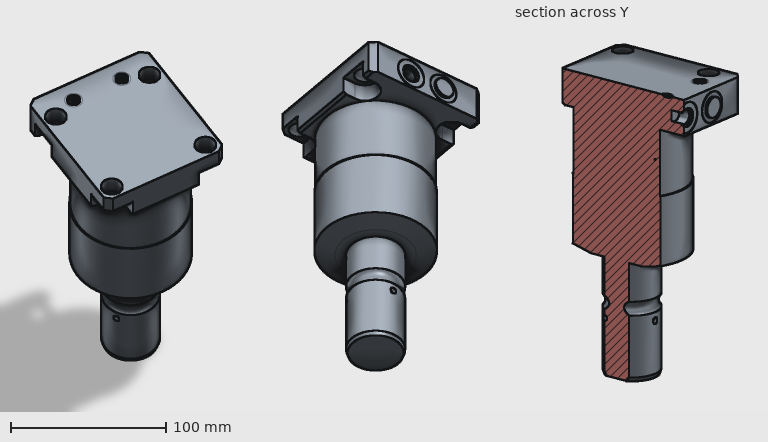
import cadquery as cq
import math


overall_height = 203

half_width = 44.5
plate_left = 55.5
plate_height = 25.0
seal_height = 0.5
corner_x = 3.9
corner_y = 4.7
edge_bevel_height = 1.5
edge_bevel_width = 2.2

hole_offset = 35.1
hole_diameter = 13.8
pocket_radius = 10.4
pocket_depth = 12.8

upper_radius = 39.0
lower_radius = 39.5
upper_depth = 45.0
lower_depth = 93.0
nose_depth = 96.6
nose_radius = 26.2

rod_radius = 19.0
rod_end = overall_height - plate_height - seal_height
groove_top = 122.8
groove_width = 9.5
groove_depth = 1.8
rod_bevel_height = 3.0
rod_bevel_width = 1.0
dimple_depth = 138.2
dimple_radius = 2.2
dimple_angles = (60, 180, 300)

port_spacing = 26.0
port_height = 12.0
spotface_diameter = 21.0
spotface_depth = 0.2
port_mouth_diameter = 12.5
port_entry_diameter = 10.5
port_entry_depth = 2
port_bore_diameter = 9.3
port_depth = 10.2
plug_diameter = 14.0
plug_proud = 1.5

seal_x = -41.5
seal_spacing = 36.1
seal_outer_diameter = 11.5
seal_inner_diameter = 8.3
socket_steps = (
    (seal_inner_diameter, 0.5),
    (7.1, 0.8),
    (5.9, 1.2),
    (2.8, 4),
)


def make_plate():
    """Rectangular plate with bevelled corners and underside edges."""
    slab = (
        cq.Workplane("YZ", origin=(-plate_left, 0, 0))
        .polyline([
            (-half_width + edge_bevel_width, 0),
            (half_width - edge_bevel_width, 0),
            (half_width, edge_bevel_height),
            (half_width, plate_height),
            (-half_width, plate_height),
            (-half_width, edge_bevel_height),
        ])
        .close()
        .extrude(plate_left + half_width)
    )
    outline = (
        cq.Workplane("XY")
        .polyline([
            (-plate_left + corner_x, -half_width),
            (half_width - corner_x, -half_width),
            (half_width, -half_width + corner_y),
            (half_width, half_width - corner_y),
            (half_width - corner_x, half_width),
            (-plate_left + corner_x, half_width),
            (-plate_left, half_width - corner_y),
            (-plate_left, -half_width + corner_y),
        ])
        .close()
        .extrude(plate_height)
    )
    right_bevel = (
        cq.Workplane("XZ", origin=(0, half_width, 0))
        .polyline([
            (half_width - edge_bevel_width, 0),
            (half_width, 0),
            (half_width, edge_bevel_height),
        ])
        .close()
        .extrude(2 * half_width)
    )
    return slab.intersect(outline).cut(right_bevel)


def make_pocket(x_sign, y_sign):
    """Round pocket around a mounting hole, open to the nearest sides of the plate."""
    x = x_sign * hole_offset
    y = y_sign * hole_offset
    pocket = cq.Workplane("XY").center(x, y).circle(pocket_radius).extrude(pocket_depth)
    reach = 2 * pocket_radius
    to_side = (
        cq.Workplane("XY")
        .center(x, y + y_sign * reach / 2)
        .rect(2 * pocket_radius, reach)
        .extrude(pocket_depth)
    )
    pocket = pocket.union(to_side)
    if x_sign > 0:
        to_end = (
            cq.Workplane("XY")
            .center(x + reach / 2, y + y_sign * (reach - pocket_radius) / 2)
            .rect(reach, reach + pocket_radius)
            .extrude(pocket_depth)
        )
        pocket = pocket.union(to_end)
    return pocket


def make_cylinder_and_rod():
    """Turned body with a conical nose and a grooved rod."""
    return (
        cq.Workplane("XZ")
        .moveTo(0, 0)
        .lineTo(upper_radius, 0)
        .lineTo(upper_radius, -upper_depth)
        .lineTo(lower_radius, -upper_depth)
        .lineTo(lower_radius, -lower_depth)
        .lineTo(nose_radius, -nose_depth)
        .lineTo(rod_radius, -nose_depth)
        .lineTo(rod_radius, -groove_top)
        .threePointArc(
            (rod_radius - groove_depth, -groove_top - groove_width / 2),
            (rod_radius, -groove_top - groove_width),
        )
        .lineTo(rod_radius, -rod_end + rod_bevel_height)
        .lineTo(rod_radius - rod_bevel_width, -rod_end)
        .lineTo(0, -rod_end)
        .close()
        .revolve(360, (0, 0, 0), (0, 1, 0))
    )


def make_dimple(angle):
    """Right-angled conical dimple pointing at the rod axis."""
    direction = cq.Vector(math.cos(math.radians(angle)), math.sin(math.radians(angle)), 0)
    tip = direction * (rod_radius - dimple_radius) - cq.Vector(0, 0, dimple_depth)
    cone_length = 2 * dimple_radius
    return cq.Workplane(obj=cq.Solid.makeCone(0, cone_length, cone_length, tip, direction))


def disc_on_left_face(y, diameter, start, length):
    """Cylinder along +X whose first end lies `start` inside the -X face."""
    return (
        cq.Workplane("YZ", origin=(-plate_left + start, y, port_height))
        .circle(diameter / 2)
        .extrude(length)
    )


def make_port_cut(y):
    """Stepped bore with a 45 degree mouth."""
    mouth_length = (port_mouth_diameter - port_entry_diameter) / 2
    mouth = cq.Solid.makeCone(
        port_mouth_diameter / 2,
        port_entry_diameter / 2,
        mouth_length,
        cq.Vector(-plate_left + spotface_depth, y, port_height),
        cq.Vector(1, 0, 0),
    )
    entry = disc_on_left_face(y, port_entry_diameter, 0, port_entry_depth)
    bore = disc_on_left_face(y, port_bore_diameter, 0, port_depth)
    return bore.union(entry).union(cq.Workplane(obj=mouth))


def disc_below_top(y, diameter, depth):
    """Cylinder reaching from the seal top down to `depth` below the plate top."""
    return (
        cq.Workplane("XY", origin=(seal_x, y, plate_height - depth))
        .circle(diameter / 2)
        .extrude(depth + seal_height)
    )


def make_seal(y):
    """Ring that slopes up from the plate top."""
    return cq.Workplane(obj=cq.Solid.makeCone(
        seal_outer_diameter / 2,
        seal_inner_diameter / 2,
        seal_height,
        cq.Vector(seal_x, y, plate_height),
        cq.Vector(0, 0, 1),
    ))


result = make_plate()
for x_sign in (-1, 1):
    for y_sign in (-1, 1):
        result = result.cut(make_pocket(x_sign, y_sign))
result = (
    result.faces(">Z")
    .workplane(origin=(0, 0, plate_height))
    .rect(2 * hole_offset, 2 * hole_offset, forConstruction=True)
    .vertices()
    .hole(hole_diameter)
)

result = result.union(make_cylinder_and_rod())
for angle in dimple_angles:
    result = result.cut(make_dimple(angle))

open_port_y = port_spacing / 2
plug_y = -port_spacing / 2
for y in (open_port_y, plug_y):
    result = result.cut(disc_on_left_face(y, spotface_diameter, 0, spotface_depth))
result = result.cut(make_port_cut(open_port_y))
result = result.union(disc_on_left_face(plug_y, plug_diameter, -plug_proud, plug_proud + spotface_depth))

for y in (-seal_spacing / 2, seal_spacing / 2):
    result = result.union(make_seal(y))
    for diameter, depth in socket_steps:
        result = result.cut(disc_below_top(y, diameter, depth))